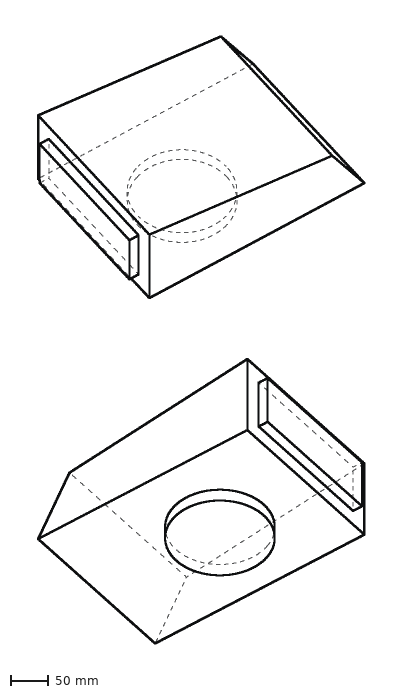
import cadquery as cq
import math

total_length = 370.0
body_width = 260.0
front_height = 131.0
rear_height = 92.0
rear_face_angle = 60.0
plate_thickness = 15.0
plate_margin = 25.0
spigot_diameter = 148.0
spigot_height = 20.0
spigot_setback = 145.8

body_length = total_length - plate_thickness
rear_run = rear_height / math.tan(math.radians(rear_face_angle))
plate_width = body_width - 2 * plate_margin
plate_height = front_height - 2 * plate_margin


def make_body():
    """Wedge body with its front face at Y = 0 and its base at Z = 0."""
    side_profile = [
        (0, 0),
        (body_length, 0),
        (body_length - rear_run, rear_height),
        (0, front_height),
    ]
    return (
        cq.Workplane("YZ")
        .polyline(side_profile)
        .close()
        .extrude(body_width / 2, both=True)
    )


def make_front_plate():
    """Raised rectangular plate with an even margin on the front face."""
    return (
        cq.Workplane("XZ", origin=(0, 0, front_height / 2))
        .rect(plate_width, plate_height)
        .extrude(plate_thickness)
    )


def make_spigot():
    """Round spigot below the base."""
    return (
        cq.Workplane("XY", origin=(0, spigot_setback, 0))
        .circle(spigot_diameter / 2)
        .extrude(-spigot_height)
    )


result = make_body().union(make_front_plate()).union(make_spigot())